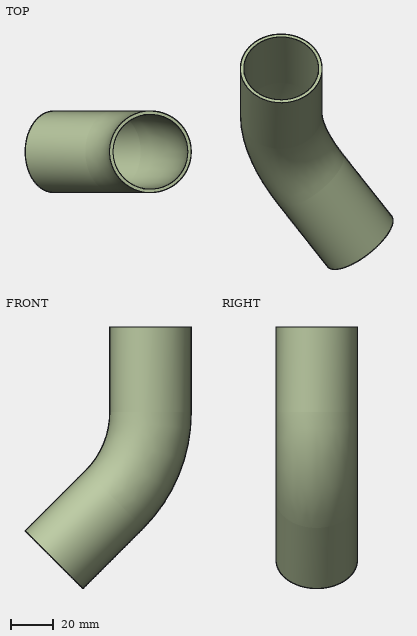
import cadquery as cq
import math

outer_diameter = 38.1
inner_diameter = 34.8
bend_angle = 45.0
bend_radius = 1.5 * outer_diameter
center_to_end = 63.5

tangent_setback = bend_radius * math.tan(math.radians(bend_angle / 2))


def point_on_lower_leg(distance):
    """XZ point on the lower leg's axis, at a distance from the crossing."""
    angle = math.radians(bend_angle)
    return (-distance * math.sin(angle), -distance * math.cos(angle))


def make_centerline():
    """Straight leg, tangent bend and second straight leg in the XZ plane."""
    return (
        cq.Workplane("XZ")
        .moveTo(0, center_to_end)
        .lineTo(0, tangent_setback)
        .tangentArcPoint(point_on_lower_leg(tangent_setback), relative=False)
        .lineTo(*point_on_lower_leg(center_to_end))
    )


def make_tube(centerline):
    """Sweep the ring-shaped tube section along the centreline."""
    return (
        cq.Workplane("XY", origin=(0, 0, center_to_end))
        .circle(outer_diameter / 2)
        .circle(inner_diameter / 2)
        .sweep(centerline)
    )


result = make_tube(make_centerline())